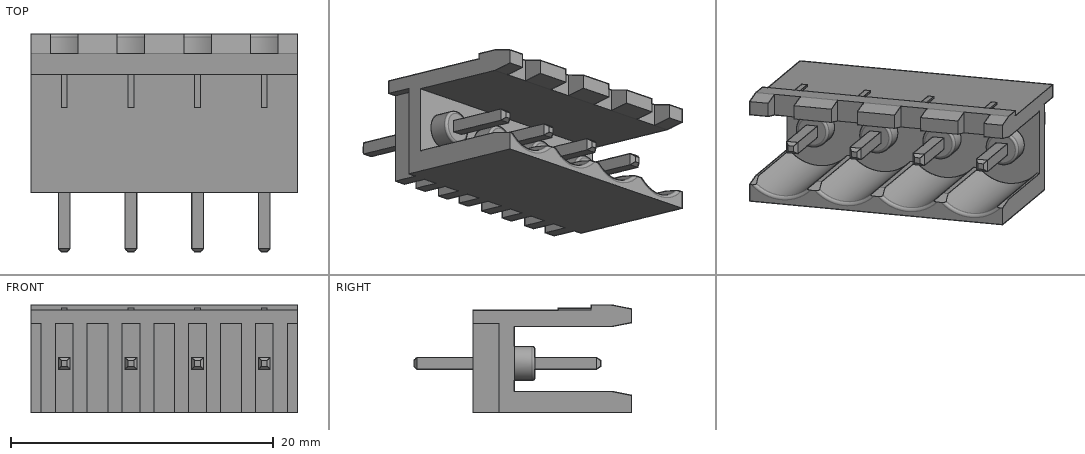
import cadquery as cq
import math

PIN_COUNT = 4
PITCH = 5.08
PIN_WIDTH = 0.9
PIN_AXIS_Z = 3.75
PIN_FRONT_REACH = 4.5
PIN_REAR_GAP = 2.35
FRONT_TIP_LENGTH = 0.23
REAR_TIP_LENGTH = 0.32
PIN_TIP_INSET = 0.23

WIDTH = PIN_COUNT * PITCH
DEPTH = 12.1
TOP_Z = 7.8
CREST_Z = 8.2
CREST_FRONT_Y = DEPTH - 3.1
BEVEL_LENGTH = 1.5
BEVEL_DROP = 0.3
UPPER_JAW_Z = 6.55
LOWER_JAW_Z = 1.62
MOUTH_FLOOR_Y = 3.17

RECESS_DEPTH = 2.0
RECESS_HEIGHT = 6.8
BOUNDARY_RECESS_WIDTH = 1.58
PIN_RECESS_WIDTH = 1.36

CHANNEL_RADIUS = 3.15
CHANNEL_MOUTH_FILLET = 0.25

COLLAR_DIAMETER = 2.6
COLLAR_LENGTH = 1.55
COLLAR_FILLET = 0.2
NOTCH_WIDTH = 2.08
MARK_WIDTH = 0.45
MARK_END_Y = DEPTH - 5.6
MARK_HEIGHT = 0.15

PIN_XS = [PITCH * (index + 0.5) for index in range(PIN_COUNT)]


def box(x_min, x_max, y_min, y_max, z_min, z_max):
    size = (x_max - x_min, y_max - y_min, z_max - z_min)
    return cq.Workplane("XY").box(*size, centered=False).translate((x_min, y_min, z_min))


def centred_box(x, width, y_min, y_max, z_min, z_max):
    return box(x - width / 2, x + width / 2, y_min, y_max, z_min, z_max)


def make_housing():
    """C-shaped profile, open to the rear, extruded along X."""
    bevel_y = DEPTH - BEVEL_LENGTH
    profile = [
        (0, 0),
        (DEPTH, 0),
        (DEPTH, LOWER_JAW_Z - BEVEL_DROP),
        (bevel_y, LOWER_JAW_Z),
        (MOUTH_FLOOR_Y, LOWER_JAW_Z),
        (MOUTH_FLOOR_Y, UPPER_JAW_Z),
        (bevel_y, UPPER_JAW_Z),
        (DEPTH, UPPER_JAW_Z + BEVEL_DROP),
        (DEPTH, CREST_Z - BEVEL_DROP),
        (bevel_y, CREST_Z),
        (CREST_FRONT_Y, CREST_Z),
        (CREST_FRONT_Y, TOP_Z),
        (0, TOP_Z),
    ]
    return cq.Workplane("YZ").polyline(profile).close().extrude(WIDTH)


def cut_front_recesses(body):
    """Narrow recesses around the pins and wide ones at the pitch boundaries, open below."""
    for index in range(2 * PIN_COUNT + 1):
        at_pin = index % 2 == 1
        recess_width = PIN_RECESS_WIDTH if at_pin else BOUNDARY_RECESS_WIDTH
        x = index * PITCH / 2
        body = body.cut(centred_box(x, recess_width, 0, RECESS_DEPTH, 0, RECESS_HEIGHT))
    return body


def cut_channel(body, x):
    """Trough in the lower jaw, concentric with the pin, from the open end to the mouth floor."""
    rear_plane = cq.Plane((x, DEPTH, PIN_AXIS_Z), (1, 0, 0), (0, -1, 0))
    length = DEPTH - MOUTH_FLOOR_Y
    cylinder = cq.Workplane(rear_plane).circle(CHANNEL_RADIUS).extrude(length)
    lower_half = centred_box(x, 2 * CHANNEL_RADIUS, MOUTH_FLOOR_Y, DEPTH, 0, PIN_AXIS_Z)
    return body.cut(cylinder.intersect(lower_half))


def round_channel_mouths(body):
    """Fillet the arcs where the channels break out of the rear end of the lower jaw."""
    return body.faces(">Y").edges("%CIRCLE").fillet(CHANNEL_MOUTH_FILLET)


def make_pin_tip(x, y, direction, length):
    """Truncated pyramid on the pin end at y, pointing along +Y or -Y (direction 1 or -1)."""
    plane = cq.Plane((x, y, PIN_AXIS_Z), (1, 0, 0), (0, direction, 0))
    taper = math.degrees(math.atan(PIN_TIP_INSET / length))
    return cq.Workplane(plane).rect(PIN_WIDTH, PIN_WIDTH).extrude(length, taper=taper)


def make_pin(x):
    front_y = -PIN_FRONT_REACH + FRONT_TIP_LENGTH
    rear_y = DEPTH - PIN_REAR_GAP - REAR_TIP_LENGTH
    half = PIN_WIDTH / 2
    shank = centred_box(x, PIN_WIDTH, front_y, rear_y, PIN_AXIS_Z - half, PIN_AXIS_Z + half)
    front_tip = make_pin_tip(x, front_y, -1, FRONT_TIP_LENGTH)
    rear_tip = make_pin_tip(x, rear_y, 1, REAR_TIP_LENGTH)
    return shank.union(front_tip).union(rear_tip)


def make_collar(x):
    plane = cq.Workplane(cq.Plane((x, MOUTH_FLOOR_Y, PIN_AXIS_Z), (1, 0, 0), (0, 1, 0)))
    collar = plane.circle(COLLAR_DIAMETER / 2).extrude(COLLAR_LENGTH)
    return collar.faces(">Y").fillet(COLLAR_FILLET)


def make_mark(x):
    return centred_box(x, MARK_WIDTH, MARK_END_Y, CREST_FRONT_Y, TOP_Z, TOP_Z + MARK_HEIGHT)


def make_notch(x):
    return centred_box(x, NOTCH_WIDTH, DEPTH - BEVEL_LENGTH, DEPTH, UPPER_JAW_Z, CREST_Z)


body = cut_front_recesses(make_housing())
for pin_x in PIN_XS:
    body = cut_channel(body, pin_x)
body = round_channel_mouths(body)

for pin_x in PIN_XS:
    body = body.cut(make_notch(pin_x))
    body = body.union(make_mark(pin_x))
    body = body.union(make_collar(pin_x))
    body = body.union(make_pin(pin_x))

result = body